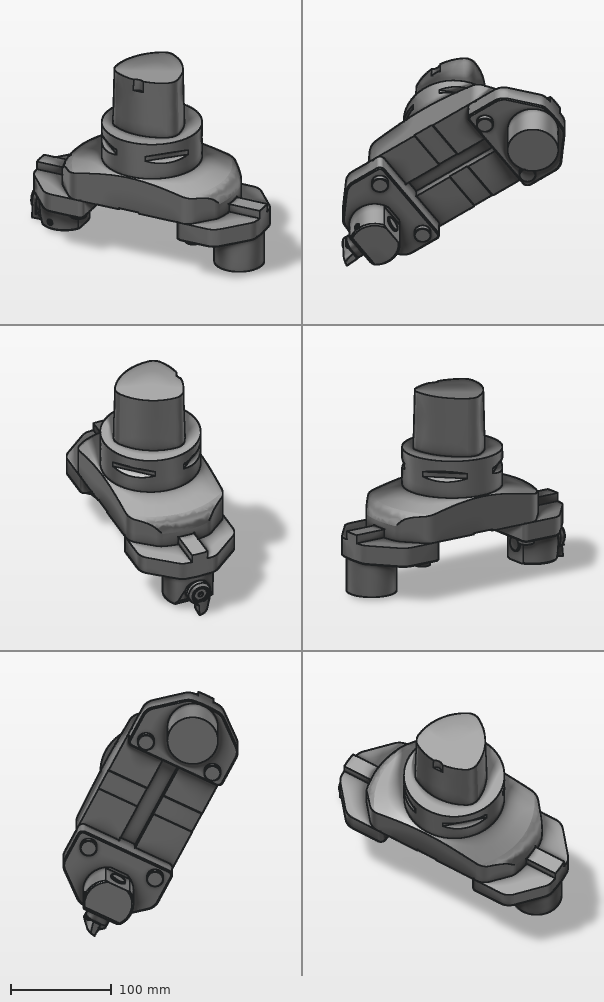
import cadquery as cq
import math

part_width = 104.0
corner_angle = 49.5
corner_radius = 16.0
end_blend_radius = 13.8

base_end_radius = 90.1
base_corner_x = 64.8
shoulder_radius = 14.5
slope_drop = 0.3
keyway_width = 18.0
keyway_depth = 9.0
relief_half_width = 11.3
relief_depth = 1.3

flange_radius = 50.0
flange_bottom = 38.2
flange_top = 76.3
groove_z = 60.2
groove_floor_height = 4.9
groove_mouth_height = 11.0
groove_floor_distance = 44.5
groove_angles = (45, 135, 225, 315)

shank_top = 136.2
lobe_centre_distance = 24.5
lobe_radius = 14.3
shank_taper = 1.4
notch_radius = 8.0
notch_centre_y = -36.5
notch_depth = 11.8

slide_end_radius = 123.5
slide_inner_x = 51.5
slide_corner_x = 93.5
slide_thickness = 20.0
slide_inner_fillet = 5.5
slide_bottom_chamfer = 1.3
key_width = 17.0
key_height = 8.5
bolt_x = 63.5
bolt_y = 36.9
bolt_head_diameter = 16.5
bolt_head_height = 5.6
bolt_head_chamfer = 0.5

post_radius = 25.0
post_x = -97.3
post_y = 1.92
post_bottom = -55.5

post_chamfer = 1.5
back_flat_x = -76.0
back_flat_top = -22.0
back_boss_diameter = 16.0
back_boss_height = 1.8
back_boss_chamfer = 0.8
tool_z = -36.9
seat_x = -123.0
seat_radius = 12.0
relief_top = (-124.0, -slide_thickness)
relief_break = (-115.0, -49.5)
relief_bottom = (-110.5, post_bottom)

insert_face_x = -130.0
insert_chamfer = 2.8
insert_recess_diameter = 16.0
insert_recess_depth = 2.3
screw_head_diameter = 13.8
screw_head_height = 1.8
screw_shank_diameter = 8.0
screw_end_x = -102.5
screw_socket_diameter = 5.0
screw_socket_depth = 3.0
tip_x = -132.6
tip_y = 4.4
tip_z = -59.7
tip_edge_width = 2.0
tooth_lean_up = 0.1
tooth_lean_across = 0.22
tooth_join_angle = 195
tooth_side_end = (-4.9, -55.8)
tooth_tip_bend = (-2.0, -58.6)
tooth_root_start_z = -49.2
tooth_root_bend = (5.0, -48.0)
tooth_root_end = (7.0, -47.0)
lip_thickness = 1.0
lip_drop = 12.5
tooth_back = [(seat_x, -49.7), (-119.8, -55.3), (-119.8, -57.9)]

set_screw_x = -101.7
set_screw_z = -48.0
set_screw_diameter = 6.1
set_screw_face_y = -22.0
set_screw_length = 10.2
set_screw_chamfer = 0.8
set_screw_socket = 2.8
set_screw_socket_depth = 2.5


def plan_block(corner_x, end_radius, bottom, height):
    """Block with parallel long sides, cut corners and round ends, its upright edges blended."""
    half_width = part_width / 2
    point_x = corner_x + half_width / math.tan(math.radians(corner_angle))
    outline = [
        (point_x, 0), (corner_x, half_width), (-corner_x, half_width),
        (-point_x, 0), (-corner_x, -half_width), (corner_x, -half_width),
    ]
    plane = cq.Workplane("XY", origin=(0, 0, bottom))
    block = plane.polyline(outline).close().extrude(height)
    block = block.intersect(plane.circle(end_radius).extrude(height))
    end_edges = [edge for edge in block.edges("|Z").vals() if abs(edge.Center().x) > corner_x + 2.5]
    block = block.newObject(end_edges).fillet(end_blend_radius)
    corner_edges = [edge for edge in block.edges("|Z").vals() if abs(edge.Center().x) < corner_x + 2.5]
    return block.newObject(corner_edges).fillet(corner_radius)


def box_between(corner_a, corner_b):
    """Box with two opposite corners given."""
    size = [b - a for a, b in zip(corner_a, corner_b)]
    return cq.Workplane("XY").box(*size, centered=False).translate(corner_a)


def polar(radius, angle):
    """Point at a radius and an angle in degrees."""
    return (radius * math.cos(math.radians(angle)), radius * math.sin(math.radians(angle)))


def y_prism(profile):
    """Prism over an X, Z profile, as wide as the part."""
    return cq.Workplane("XZ").polyline(profile).close().extrude(part_width / 2, both=True)


def x_cylinder(diameter, start_x, end_x):
    """Cylinder on the insert axis."""
    disc = cq.Workplane("YZ", origin=(start_x, post_y, tool_z)).circle(diameter / 2)
    return disc.extrude(end_x - start_x)


def make_shoulder():
    """Lower part of the base: a cone with a rounded rim, trimmed to the plan of the base."""
    apex_z = flange_bottom + flange_radius * slope_drop
    rim_z = apex_z - base_end_radius * slope_drop
    profile = [(0, 0), (base_end_radius, 0), (base_end_radius, rim_z), (0, apex_z)]
    dome = cq.Workplane("XZ").polyline(profile).close().revolve(360, (0, 0, 0), (0, 1, 0))
    dome = dome.edges("%CIRCLE and (not <Z)").fillet(shoulder_radius)
    dome = dome.intersect(plan_block(base_corner_x, base_end_radius, 0, flange_top))
    keyway = box_between(
        (-base_end_radius, -keyway_width / 2, 0), (base_end_radius, keyway_width / 2, keyway_depth)
    )
    bottom_relief = y_prism([
        (-relief_half_width, 0), (-relief_half_width, relief_depth),
        (relief_half_width - relief_depth, relief_depth), (relief_half_width, 0),
    ])
    return dome.cut(keyway).cut(bottom_relief)


def make_flange():
    """Round flange with four gripper grooves."""
    flange = cq.Workplane("XY", origin=(0, 0, keyway_depth)).circle(flange_radius)
    flange = flange.extrude(flange_top - keyway_depth)
    groove = y_prism([
        (groove_floor_distance, groove_z - groove_floor_height / 2),
        (flange_radius, groove_z - groove_mouth_height / 2),
        (flange_radius, groove_z + groove_mouth_height / 2),
        (groove_floor_distance, groove_z + groove_floor_height / 2),
    ])
    for angle in groove_angles:
        flange = flange.cut(groove.rotate((0, 0, 0), (0, 0, 1), angle))
    return flange


def make_shank():
    """Tapered shank of three small lobe arcs and three large flank arcs, with a notch."""
    flank_radius = lobe_centre_distance * math.sqrt(3) + lobe_radius
    start_x, start_y = polar(lobe_centre_distance, 90)
    outline = cq.Workplane("XY", origin=(0, 0, flange_top))
    first_x, first_y = polar(lobe_radius, 60)
    outline = outline.moveTo(start_x + first_x, start_y + first_y)
    for lobe_angle in (90, 210, 330):
        centre_x, centre_y = polar(lobe_centre_distance, lobe_angle)
        lobe_end_x, lobe_end_y = polar(lobe_radius, lobe_angle + 30)
        next_x, next_y = polar(lobe_centre_distance, lobe_angle + 120)
        flank_end_x, flank_end_y = polar(lobe_radius, lobe_angle + 90)
        outline = outline.threePointArc(
            polar(lobe_centre_distance + lobe_radius, lobe_angle),
            (centre_x + lobe_end_x, centre_y + lobe_end_y),
        )
        outline = outline.threePointArc(
            polar(flank_radius - lobe_centre_distance, lobe_angle + 60),
            (next_x + flank_end_x, next_y + flank_end_y),
        )
    shank = outline.close().extrude(shank_top - flange_top, taper=shank_taper)
    notch = cq.Workplane("XY", origin=(0, notch_centre_y, shank_top - notch_depth))
    return shank.cut(notch.circle(notch_radius).extrude(notch_depth))


def post_cylinder():
    """Plain round post below the left slide."""
    post = cq.Workplane("XY", origin=(post_x, post_y, -slide_thickness)).circle(post_radius)
    return post.extrude(post_bottom + slide_thickness)


def make_slide():
    """Left slide with key, bolt heads and the plain post below it."""
    slide = plan_block(slide_corner_x, slide_end_radius, -slide_thickness, slide_thickness)
    left_half = box_between(
        (-slide_end_radius, -part_width / 2, -slide_thickness),
        (-slide_inner_x, part_width / 2, key_height),
    )
    slide = slide.intersect(left_half)
    slide = slide.edges("|Z and >X").fillet(slide_inner_fillet)
    slide = slide.faces("<Z").chamfer(slide_bottom_chamfer)

    key = cq.Workplane("XY").circle(slide_end_radius).extrude(key_height)
    key_space = box_between(
        (-slide_end_radius, -key_width / 2, 0), (-slide_inner_x, key_width / 2, key_height)
    )
    slide = slide.union(key.intersect(key_space))

    bolt_heads = cq.Workplane("XY", origin=(0, 0, -slide_thickness))
    bolt_heads = bolt_heads.pushPoints([(-bolt_x, bolt_y), (-bolt_x, -bolt_y)])
    bolt_heads = bolt_heads.circle(bolt_head_diameter / 2).extrude(-bolt_head_height)
    slide = slide.union(bolt_heads.faces("<Z").chamfer(bolt_head_chamfer))

    return slide.union(post_cylinder())


def set_screw_cylinder(start_y, end_y):
    """Cylinder on the set screw axis."""
    disc = cq.Workplane("XZ", origin=(set_screw_x, start_y, set_screw_z)).circle(set_screw_diameter / 2)
    return disc.extrude(start_y - end_y)


def make_tool_slide():
    """Left slide whose post is shaped to carry the insert."""
    slide = make_slide().faces("<Z").edges().chamfer(post_chamfer)

    runout = -slide_thickness - back_flat_top
    post_inner_x = post_x + post_radius
    slide = slide.cut(y_prism([
        (back_flat_x, post_bottom), (back_flat_x, back_flat_top),
        (back_flat_x + runout, -slide_thickness),
        (post_inner_x, -slide_thickness), (post_inner_x, post_bottom),
    ]))
    boss = x_cylinder(back_boss_diameter, back_flat_x, back_flat_x + back_boss_height)
    slide = slide.union(boss.faces(">X").chamfer(back_boss_chamfer))

    slide = slide.cut(y_prism([relief_top, relief_break, relief_bottom, (relief_top[0], post_bottom)]))

    slide = slide.union(x_cylinder(2 * seat_radius, seat_x, post_x))

    screw_hole = x_cylinder(screw_shank_diameter, seat_x, screw_end_x)
    set_screw_hole = set_screw_cylinder(-part_width / 2, set_screw_face_y + set_screw_length)
    return slide.cut(screw_hole).cut(set_screw_hole)


def make_insert():
    """Grooving insert: a disc with a tooth below it."""
    disc = x_cylinder(2 * seat_radius, insert_face_x, seat_x).faces("<X").chamfer(insert_chamfer)
    join_y, join_z = polar(seat_radius, tooth_join_angle)
    tooth_front = (
        cq.Workplane("YZ", origin=(tip_x, 0, 0))
        .moveTo(post_y, tool_z)
        .lineTo(post_y + join_y, tool_z + join_z)
        .lineTo(*tooth_side_end)
        .threePointArc(tooth_tip_bend, (tip_y - tip_edge_width, tip_z))
        .lineTo(tip_y, tip_z)
        .lineTo(tip_y, tooth_root_start_z)
        .threePointArc(tooth_root_bend, tooth_root_end)
        .close().extrude(post_x - tip_x)
    )
    tooth_side = y_prism([(seat_x, tool_z), (tip_x, tool_z), (tip_x, tip_z), *reversed(tooth_back)])
    cutting_plane = cq.Plane(
        origin=(tip_x, tip_y, tip_z),
        xDir=(tooth_lean_up, 0, 1),
        normal=(-1, -tooth_lean_across, tooth_lean_up),
    )
    in_front = cq.Workplane(cutting_plane).rect(part_width, part_width).extrude(seat_radius)
    tooth = tooth_front.intersect(tooth_side).cut(in_front)
    lip = box_between(
        (seat_x - lip_thickness, post_y - seat_radius, tool_z - lip_drop), (seat_x, post_y, tool_z)
    )
    insert = disc.union(tooth).union(lip)
    recess = x_cylinder(insert_recess_diameter, tip_x, insert_face_x + insert_recess_depth)
    return insert.cut(recess).cut(x_cylinder(screw_shank_diameter, insert_face_x, seat_x))


def make_insert_screw():
    """Insert screw with a round socket."""
    head_seat_x = insert_face_x + insert_recess_depth
    head_face_x = head_seat_x - screw_head_height
    head = x_cylinder(screw_head_diameter, head_face_x, head_seat_x)
    shank = x_cylinder(screw_shank_diameter, head_seat_x, screw_end_x)
    socket = x_cylinder(screw_socket_diameter, head_face_x, head_face_x + screw_socket_depth)
    return head.union(shank).cut(socket)


def make_set_screw():
    """Set screw with a hexagon socket."""
    screw = set_screw_cylinder(set_screw_face_y, set_screw_face_y + set_screw_length)
    screw = screw.faces("<Y").chamfer(set_screw_chamfer)
    socket = cq.Workplane("XZ", origin=(set_screw_x, set_screw_face_y, set_screw_z))
    socket = socket.polygon(6, set_screw_socket).extrude(-set_screw_socket_depth)
    return screw.cut(socket)


base = make_shoulder().union(make_flange()).union(make_shank())
tool_slide = make_tool_slide()
counter_slide = make_slide().rotate((0, 0, 0), (0, 0, 1), 180)
insert = make_insert()
insert_screw = make_insert_screw()
set_screw = make_set_screw()

result = cq.Compound.makeCompound([
    base.val(), tool_slide.val(), counter_slide.val(),
    insert.val(), insert_screw.val(), set_screw.val(),
])